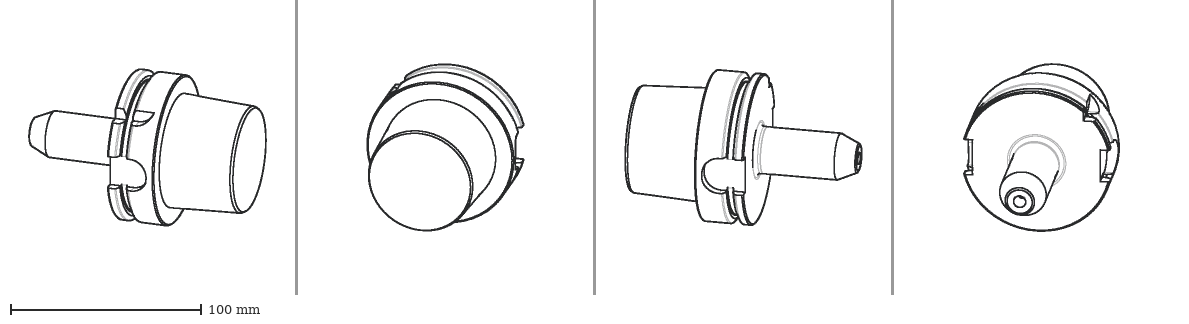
import cadquery as cq
import math

total_length = 120.0
flange_start = 54.0
flange_length = 26.0
flange_end = flange_start + flange_length
flange_radius = 80.0 / 2

tip_radius = 7.8
tip_chamfer_length = 0.6
tip_chamfer_height = 1.1
cone_length = 10.8
shank_radius = 24.8 / 2
neck_radius = 25.0 / 2
neck_start = 50.5
neck_step_length = 0.2
root_radius = 2.2
root_relief_radius = 15.6
root_relief_depth = 0.2
bore_radius = 5.0 / 2
bore_mouth_radius = 6.5 / 2
bore_mouth_depth = 12.0
bore_depth = 18.0

flange_front_chamfer = 0.7
flange_back_chamfer = 0.7
groove_start = 60.1
groove_end = 63.7
groove_rim_fillet = 0.7
groove_floor_fillet = 0.4
edge_tolerance = 0.01
groove_floor_radius = 35.0
groove_bevel_radius = 37.2
groove_bevel_angle = math.radians(30)
groove_bevel_length = (flange_radius - groove_bevel_radius) * math.tan(groove_bevel_angle)

taper_start_radius = 30.4
taper_ratio = 1 / 20
taper_end_radius = taper_start_radius - taper_ratio * (total_length - flange_end)
taper_end_chamfer_length = 1.5
taper_end_chamfer_height = 0.7

slot_end = 76.0
cutter_radius = 9.0
slot_floor_distance = 34.1
wide_slot_width = 20.0
notch_offset = 25.1


def turned_body():
    root_start = flange_start + root_relief_depth - root_radius
    root_outer_radius = neck_radius + root_radius
    taper_chamfer_start = total_length - taper_end_chamfer_length
    taper_chamfer_radius = taper_end_radius + taper_ratio * taper_end_chamfer_length
    arc_offset = root_radius * math.sqrt(0.5)
    return (
        cq.Workplane("XY")
        .moveTo(0, 0)
        .lineTo(0, tip_radius - tip_chamfer_height)
        .lineTo(tip_chamfer_length, tip_radius)
        .lineTo(cone_length, shank_radius)
        .lineTo(neck_start, shank_radius)
        .lineTo(neck_start + neck_step_length, neck_radius)
        .lineTo(root_start, neck_radius)
        .threePointArc(
            (root_start + arc_offset, root_outer_radius - arc_offset),
            (root_start + root_radius, root_outer_radius),
        )
        .lineTo(flange_start, root_relief_radius)
        .lineTo(flange_start, flange_radius - flange_front_chamfer)
        .lineTo(flange_start + flange_front_chamfer, flange_radius)
        .lineTo(groove_start - groove_bevel_length, flange_radius)
        .lineTo(groove_start, groove_bevel_radius)
        .lineTo(groove_start, groove_floor_radius)
        .lineTo(groove_end, groove_floor_radius)
        .lineTo(groove_end, groove_bevel_radius)
        .lineTo(groove_end + groove_bevel_length, flange_radius)
        .lineTo(flange_end - flange_back_chamfer, flange_radius)
        .lineTo(flange_end, flange_radius - flange_back_chamfer)
        .lineTo(flange_end, taper_start_radius)
        .lineTo(taper_chamfer_start, taper_chamfer_radius)
        .lineTo(total_length, taper_end_radius - taper_end_chamfer_height)
        .lineTo(total_length, 0)
        .close()
        .revolve(360, (0, 0, 0), (1, 0, 0))
    )


def groove_circles(body, radius):
    """The two groove edges that run around the axis at the given radius."""
    margin = groove_bevel_length + groove_rim_fillet / 2
    return body.edges("%CIRCLE").filter(
        lambda edge: abs(edge.radius() - radius) < edge_tolerance
        and groove_start - margin < edge.Center().x < groove_end + margin
    )


def round_groove_edges(body):
    rounded = groove_circles(body, flange_radius).fillet(groove_rim_fillet)
    return groove_circles(rounded, groove_floor_radius).fillet(groove_floor_fillet)


def nose_bore():
    """Blind stepped hole on the axis."""
    mouth = cq.Workplane("YZ").circle(bore_mouth_radius).extrude(bore_mouth_depth)
    core = cq.Workplane("YZ").circle(bore_radius).extrude(bore_depth)
    return mouth.union(core)


def rounded_slot(width):
    """Full-round slot along X through the rim on the -Y side."""
    return (
        cq.Workplane("XZ", origin=(slot_end / 2, -slot_floor_distance, 0))
        .slot2D(slot_end, width)
        .extrude(flange_radius)
    )


def rounded_pocket(y_min, z_min, z_max):
    """Pocket open at the flange face and the rim, with cutter-radius corners at its inner end."""
    return (
        cq.Workplane("XY")
        .box(slot_end, flange_radius, z_max - z_min, centered=False)
        .translate((0, y_min, z_min))
        .edges("|Y and >X")
        .fillet(cutter_radius)
    )


narrow_slot = rounded_slot(2 * cutter_radius)
wide_slot = rounded_pocket(slot_floor_distance, -wide_slot_width / 2, wide_slot_width / 2)
corner_notch = rounded_pocket(-notch_offset - flange_radius, notch_offset, notch_offset + flange_radius)

result = round_groove_edges(turned_body()).cut(nose_bore()).cut(narrow_slot).cut(wide_slot).cut(corner_notch)